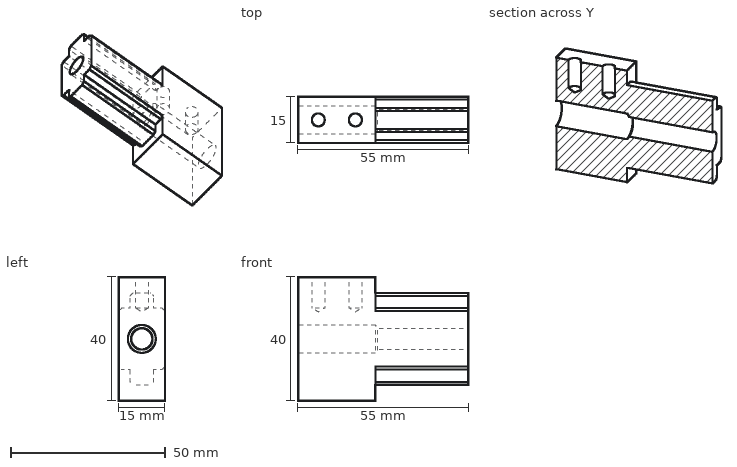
import cadquery as cq
import math

total_length = 55.0
width = 15.0
block_length = 24.95
block_height = 40.0

rail_height = 29.7
body_height = 19.85
arm_width = 7.7
rail_chamfer = 1.0

entry_diameter = 9.0
bore_diameter = 6.8
entry_depth = block_length
cone_angle = 118.0

pin_diameter = 4.2
pin_depth = 10.0
pin_positions = (6.5, 18.5)


def cone_length(large_diameter, small_diameter=0.0):
    """Axial length of a drill-point cone between two diameters."""
    return (large_diameter - small_diameter) / 2 / math.tan(math.radians(cone_angle / 2))


def rail_bar(bar_width, bar_height):
    """Bar from the back of the block to the rail end, long edges chamfered."""
    bar = cq.Workplane("YZ").workplane(offset=block_length)
    bar = bar.rect(bar_width, bar_height).extrude(total_length - block_length)
    return bar.edges("|X").chamfer(rail_chamfer)


def lengthwise_bore():
    """Stepped round cutter along X through the whole part."""
    cone_end = entry_depth + cone_length(entry_diameter, bore_diameter)
    profile = [
        (0, 0),
        (0, entry_diameter / 2),
        (entry_depth, entry_diameter / 2),
        (cone_end, bore_diameter / 2),
        (total_length, bore_diameter / 2),
        (total_length, 0),
    ]
    return cq.Workplane("XY").polyline(profile).close().revolve(360, (0, 0, 0), (1, 0, 0))


def pin_hole(x):
    """Drilled cutter with a conical tip, entering the top of the block."""
    top = block_height / 2
    shoulder = top - pin_depth
    profile = [
        (0, top),
        (pin_diameter / 2, top),
        (pin_diameter / 2, shoulder),
        (0, shoulder - cone_length(pin_diameter)),
    ]
    cutter = cq.Workplane("XZ").polyline(profile).close().revolve(360, (0, 0, 0), (0, 1, 0))
    return cutter.translate((x, 0, 0))


block = cq.Workplane("XY").box(block_length, width, block_height, centered=(False, True, True))
result = block.union(rail_bar(width, body_height)).union(rail_bar(arm_width, rail_height))
result = result.cut(lengthwise_bore())
for pin_x in pin_positions:
    result = result.cut(pin_hole(pin_x))